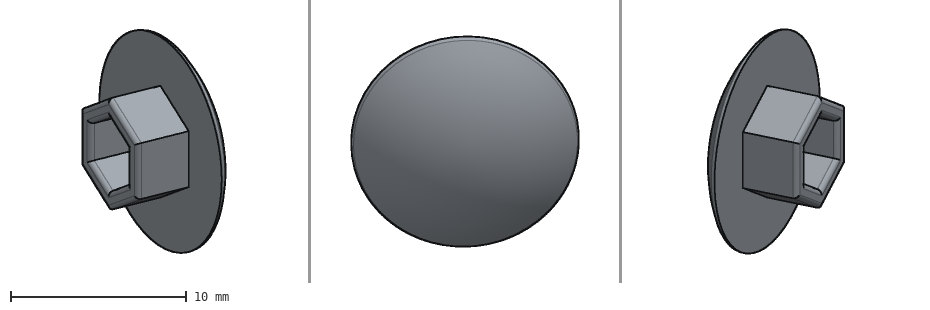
import cadquery as cq
import math

head_diameter = 13.0
total_depth = 6.0
stem_length = 3.5
stem_across_flats = 6.0
socket_across_flats = 4.0
socket_depth = stem_length
edge_radius = 0.3
rim_height = 0.2

head_radius = head_diameter / 2
head_height = total_depth - stem_length
dome_rise = head_height - rim_height
dome_radius = (head_radius**2 + dome_rise**2) / (2 * dome_rise)


def hexagonal_prism(across_flats, start_y, length):
    """Prism along +Y with two flats facing +X and -X and corners on Z."""
    across_corners = across_flats / math.cos(math.pi / 6)
    return (
        cq.Workplane("XZ", origin=(0, start_y, 0))
        .transformed(rotate=(0, 0, 90))
        .polygon(6, across_corners)
        .extrude(-length)
    )


def domed_head():
    """Spherical cap on a thin rim; its flat underside lies at Y = 0."""
    mid_radius = head_radius / 2
    dome_center_y = head_height - dome_radius
    mid_y = dome_center_y + math.sqrt(dome_radius**2 - mid_radius**2)
    head = (
        cq.Workplane("XY")
        .lineTo(head_radius, 0)
        .lineTo(head_radius, rim_height)
        .threePointArc((mid_radius, mid_y), (0, head_height))
        .close()
        .revolve(360, (0, 0, 0), (0, 1, 0))
    )
    return head.edges("%CIRCLE").edges(
        cq.selectors.BoxSelector(
            (-head_radius, rim_height / 2, -head_radius),
            (head_radius, rim_height * 2, head_radius),
        )
    ).fillet(edge_radius)


stem = hexagonal_prism(stem_across_flats, -stem_length, stem_length)
stem = stem.faces("<Y").edges().fillet(edge_radius)

socket = hexagonal_prism(socket_across_flats, -stem_length, socket_depth)
socket = socket.faces(">Y").edges().fillet(edge_radius)

body = domed_head().union(stem).cut(socket)
result = body.faces("<Y").wires(cq.selectors.LengthNthSelector(0)).edges().fillet(edge_radius)